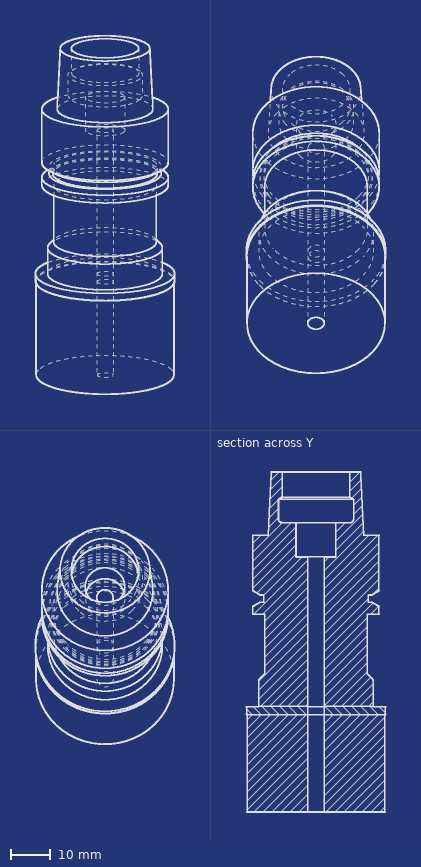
import cadquery as cq

total_height = 86.0
taper_base = 70.0
groove_top = 55.9
groove_bottom = 52.0
groove_chamfer_height = 1.0
flange_bottom = 50.0
shoulder_chamfer_top = 35.0
ring_top = 26.7
ring_bottom = 24.6

taper_top_radius = 11.35
taper_base_radius = 12.1
flange_radius = 16.0
groove_edge_radius = 14.2
groove_radius = 13.25
neck_radius = 13.0
shoulder_radius = 14.5
ring_radius = 17.6
nut_radius = 17.5

socket_radius = 8.5
undercut_radius = 9.5
undercut_depth = 6.45
undercut_chamfer = 0.5
socket_depth = 12.8
socket_floor_fillet = 0.9
counterbore_radius = 5.0
counterbore_depth = 21.5
through_radius = 2.1


def revolve_profile(points):
    """Revolve a closed (radius, height) outline about the Z axis."""
    return cq.Workplane("XZ").polyline(points).close().revolve(360, (0, 0, 0), (0, 1, 0))


def make_holder():
    """Hollow taper, grooved flange and neck, with a shoulder that rests on the ring."""
    shoulder_chamfer = shoulder_radius - neck_radius
    outside = [
        (shoulder_radius, ring_top),
        (shoulder_radius, shoulder_chamfer_top - shoulder_chamfer),
        (neck_radius, shoulder_chamfer_top),
        (neck_radius, flange_bottom),
        (flange_radius, flange_bottom),
        (flange_radius, groove_bottom),
        (groove_edge_radius, groove_bottom + groove_chamfer_height),
        (groove_radius, groove_bottom + groove_chamfer_height),
        (groove_radius, groove_top - groove_chamfer_height),
        (groove_edge_radius, groove_top - groove_chamfer_height),
        (flange_radius, groove_top),
        (flange_radius, taper_base),
        (taper_base_radius, taper_base),
        (taper_top_radius, total_height),
    ]
    axis = [(0, total_height), (0, ring_top)]
    return revolve_profile(outside + axis).cut(make_bore())


def make_bore():
    """Material removed from the holder: undercut socket, counterbore and through hole."""
    undercut_top = total_height - undercut_depth
    undercut_wall_top = undercut_top - undercut_chamfer
    socket_floor = total_height - socket_depth
    counterbore_floor = total_height - counterbore_depth
    undercut = (
        cq.Workplane("XY", origin=(0, 0, socket_floor))
        .circle(undercut_radius)
        .extrude(undercut_wall_top - socket_floor)
        .faces("<Z").edges().fillet(socket_floor_fillet)
    )
    entry = revolve_profile([
        (0, undercut_wall_top),
        (undercut_radius, undercut_wall_top),
        (socket_radius, undercut_top),
        (socket_radius, total_height),
        (0, total_height),
    ])
    lower_bore = revolve_profile([
        (0, socket_floor),
        (counterbore_radius, socket_floor),
        (counterbore_radius, counterbore_floor),
        (through_radius, counterbore_floor),
        (through_radius, ring_top),
        (0, ring_top),
    ])
    return undercut.union(entry).union(lower_bore)


def make_ring():
    """Stop ring whose lower rim is chamfered down to the nut's radius."""
    rim_chamfer = ring_radius - nut_radius
    outline = [
        (through_radius, ring_bottom),
        (nut_radius, ring_bottom),
        (ring_radius, ring_bottom + rim_chamfer),
        (ring_radius, ring_top),
        (through_radius, ring_top),
    ]
    return revolve_profile(outline)


def make_nut():
    """Plain cylinder with the through hole."""
    return cq.Workplane("XY").circle(nut_radius).circle(through_radius).extrude(ring_bottom)


holder = make_holder()
ring = make_ring()
nut = make_nut()

result = cq.Compound.makeCompound([holder.val(), ring.val(), nut.val()])